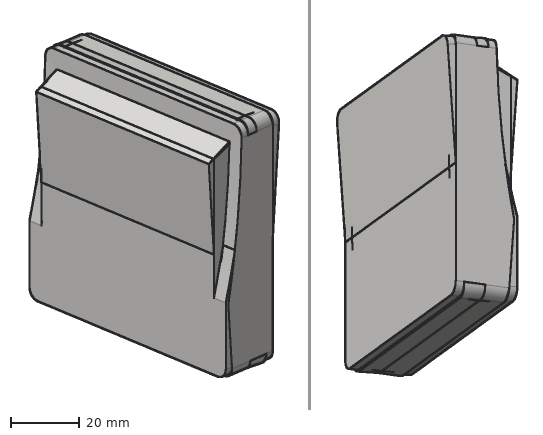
import cadquery as cq
import math


SIDE = 80.5
CORNER_RADIUS = 3.5
BOTTOM_DEPTH = 16.9
TAPER_ANGLE = 4.1

TOP_DEPTH = 13.1
STEP_BOTTOM_Z = -15.3
STEP_ARC_RADIUS = 300.5

EAR_WIDTH = 4.9
PADDLE_TIP_Z = 29.65
PADDLE_TOP_SLOPE = 26.5

PIVOT_DEPTH = 8.1

HALF_SIDE = SIDE / 2
PADDLE_WIDTH = SIDE - 2 * EAR_WIDTH


def front_y(z):
    """Y of the leaning front face at height z."""
    return -BOTTOM_DEPTH - (z + HALF_SIDE) * math.tan(math.radians(TAPER_ANGLE))


def extrude_across(profile, width):
    """Extrude a closed YZ profile to the given width, centred on X = 0."""
    return profile.extrude(width / 2, both=True)


def rounded_square():
    """Square bar along Y with rounded corners, longer than the rocker is deep."""
    return cq.Workplane("XZ").rect(SIDE, SIDE).extrude(SIDE, both=True).edges("|Y").fillet(CORNER_RADIUS)


def stepped_block():
    """Block at full width, with the arc stepping back its upper front."""
    profile = (
        cq.Workplane("YZ")
        .moveTo(0, -HALF_SIDE)
        .lineTo(front_y(-HALF_SIDE), -HALF_SIDE)
        .lineTo(front_y(STEP_BOTTOM_Z), STEP_BOTTOM_Z)
        .radiusArc((-TOP_DEPTH, HALF_SIDE), -STEP_ARC_RADIUS)
        .lineTo(0, HALF_SIDE)
        .close()
    )
    return extrude_across(profile, SIDE).intersect(rounded_square())


def paddle():
    """Wedge that continues the front face upward between the ears."""
    root_y = -TOP_DEPTH
    tip_y = front_y(PADDLE_TIP_Z)
    root_z = PADDLE_TIP_Z + (root_y - tip_y) * math.tan(math.radians(PADDLE_TOP_SLOPE))
    profile = (
        cq.Workplane("YZ")
        .moveTo(root_y, STEP_BOTTOM_Z)
        .lineTo(front_y(STEP_BOTTOM_Z), STEP_BOTTOM_Z)
        .lineTo(tip_y, PADDLE_TIP_Z)
        .lineTo(root_y, root_z)
        .close()
    )
    return extrude_across(profile, PADDLE_WIDTH)


def rocker():
    """Complete rocker in the upright position."""
    return stepped_block().union(paddle())


def swung(body):
    """Turn a body so that its top moves back by the taper angle."""
    return body.rotate((0, -PIVOT_DEPTH, 0), (1, -PIVOT_DEPTH, 0), -TAPER_ANGLE)


upright_blank = rocker()
swung_blank = swung(rocker())

between_ears = cq.Workplane("XY").box(PADDLE_WIDTH, 2 * SIDE, 2 * SIDE)
upright_rocker = upright_blank.cut(swung_blank.intersect(between_ears))
swung_rocker = swung_blank.cut(upright_blank.cut(between_ears))

result = cq.Compound.makeCompound([*upright_rocker.vals(), *swung_rocker.vals()])